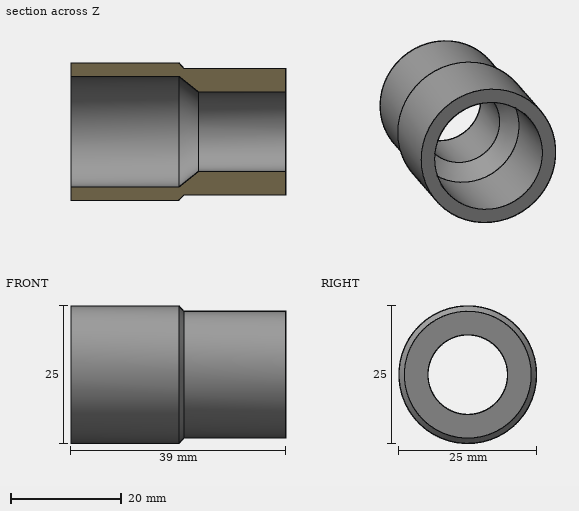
import cadquery as cq

length = 39.0

body_diameter = 25.0
spigot_diameter = 23.0
body_length = 19.6
shoulder_length = 0.9

socket_diameter = 20.0
bore_diameter = 14.4
socket_depth = body_length
taper_length = 3.5
taper_end = socket_depth + taper_length

body_radius = body_diameter / 2
spigot_radius = spigot_diameter / 2
socket_radius = socket_diameter / 2
bore_radius = bore_diameter / 2

half_section = [
    (0, socket_radius),
    (0, body_radius),
    (body_length, body_radius),
    (body_length + shoulder_length, spigot_radius),
    (length, spigot_radius),
    (length, bore_radius),
    (taper_end, bore_radius),
    (socket_depth, socket_radius),
]

result = (
    cq.Workplane("XY")
    .polyline(half_section)
    .close()
    .revolve(360, (0, 0, 0), (1, 0, 0))
)